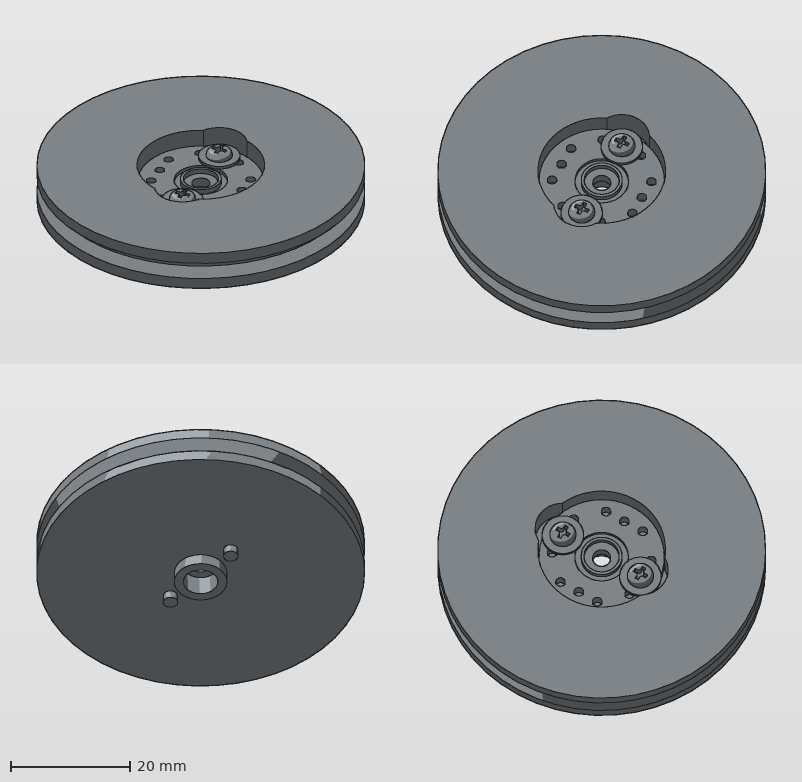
import cadquery as cq
import math

WHEEL_D = 55.0
WHEEL_H = 7.0
RIM_WIDTH = 2.0
V_DEPTH = WHEEL_H / 2 - RIM_WIDTH

HORN_D = 21.0
HORN_T = 2.0
HORN_TOP_DEPTH = 3.0
HORN_TOP_Z = WHEEL_H - HORN_TOP_DEPTH
HORN_BOTTOM_Z = HORN_TOP_Z - HORN_T

POCKET_D = 21.4
LOBE_D = 9.3

HUB_D = 8.8
HUB_DROP = 2.1
BORE_D = 3.0
GROOVE_D = 8.95
GROOVE_DEPTH = 0.6
COLLAR_D = 6.9
COLLAR_RISE = 0.3
WELL_D = 5.9
WELL_DEPTH = 0.9
SOCKET_D = 5.8
BORE_LENGTH = 1.7

HOLE_ROW_R = 7.55
HOLE_PITCH = 3.6
HOLE_D = 1.6

SCREW_D = 2.4
SCREW_DROP = 1.5
FLANGE_D = 7.0
FLANGE_T = 0.5
HEAD_D = 4.4
HEAD_H = 1.2
HEAD_TOP_D = 2.4
RECESS_ARM_W = 0.6
RECESS_CORNER_R = 0.4
RECESS_DEPTH = 1.4


def cylinder(diameter, bottom_z, top_z, x=0.0, y=0.0):
    """Upright cylinder between two heights."""
    disc = cq.Workplane("XY", origin=(x, y, bottom_z)).circle(diameter / 2)
    return disc.extrude(top_z - bottom_z)


def make_wheel():
    """V-grooved pulley with the lobed pocket, the hub hole and two screw holes."""
    rim_r = WHEEL_D / 2
    wheel = (
        cq.Workplane("XZ")
        .moveTo(0, 0)
        .lineTo(rim_r, 0)
        .lineTo(rim_r, RIM_WIDTH)
        .lineTo(rim_r - V_DEPTH, WHEEL_H / 2)
        .lineTo(rim_r, WHEEL_H - RIM_WIDTH)
        .lineTo(rim_r, WHEEL_H)
        .lineTo(0, WHEEL_H)
        .close()
        .revolve(360, (0, 0, 0), (0, 1, 0))
    )
    wheel = wheel.cut(cylinder(POCKET_D, HORN_BOTTOM_Z, WHEEL_H))
    wheel = wheel.cut(cylinder(HUB_D, 0, WHEEL_H))
    for side in (1, -1):
        wheel = wheel.cut(cylinder(LOBE_D, HORN_BOTTOM_Z, WHEEL_H, y=side * HOLE_ROW_R))
        wheel = wheel.cut(cylinder(SCREW_D, 0, WHEEL_H, y=side * HOLE_ROW_R))
    return wheel


def make_horn():
    """Perforated plate with a hub below and a collar standing in a ring groove above."""
    horn = cylinder(HORN_D, HORN_BOTTOM_Z, HORN_TOP_Z)
    horn = horn.union(cylinder(HUB_D, -HUB_DROP, HORN_BOTTOM_Z))
    horn = horn.cut(cylinder(GROOVE_D, HORN_TOP_Z - GROOVE_DEPTH, HORN_TOP_Z))

    collar_top_z = HORN_TOP_Z + COLLAR_RISE
    horn = horn.union(cylinder(COLLAR_D, HORN_TOP_Z - GROOVE_DEPTH, collar_top_z))
    horn = horn.cut(cylinder(WELL_D, collar_top_z - WELL_DEPTH, collar_top_z))
    horn = horn.cut(cylinder(BORE_D, -HUB_DROP, collar_top_z))

    socket_top_z = collar_top_z - WELL_DEPTH - BORE_LENGTH
    horn = horn.cut(cylinder(SOCKET_D, -HUB_DROP, socket_top_z))

    for side in (1, -1):
        row_place = side * HOLE_ROW_R
        for step in (-1, 0, 1):
            along_row = step * HOLE_PITCH
            horn = horn.cut(cylinder(HOLE_D, HORN_BOTTOM_Z, HORN_TOP_Z, row_place, along_row))
            horn = horn.cut(cylinder(HOLE_D, HORN_BOTTOM_Z, HORN_TOP_Z, along_row, row_place))
        horn = horn.cut(cylinder(SCREW_D, HORN_BOTTOM_Z, HORN_TOP_Z, y=row_place))
    return horn


def make_cross_recess(top_z):
    """Cross-shaped driver recess with rounded inner corners, open at the given height."""
    floor = cq.Workplane("XY", origin=(0, 0, top_z - RECESS_DEPTH))
    cross = floor.rect(HEAD_TOP_D, RECESS_ARM_W).extrude(RECESS_DEPTH)
    cross = cross.union(floor.rect(RECESS_ARM_W, HEAD_TOP_D).extrude(RECESS_DEPTH))

    inner_box = cq.selectors.BoxSelector(
        (-RECESS_ARM_W, -RECESS_ARM_W, top_z - RECESS_DEPTH),
        (RECESS_ARM_W, RECESS_ARM_W, top_z),
    )
    return cross.edges("|Z").edges(inner_box).fillet(RECESS_CORNER_R)


def make_screw(y):
    """Flanged screw with a rounded head and a cross recess."""
    flange_top_z = HORN_TOP_Z + FLANGE_T
    head_top_z = flange_top_z + HEAD_H
    screw = cylinder(SCREW_D, -SCREW_DROP, HORN_TOP_Z)
    screw = screw.union(cylinder(FLANGE_D, HORN_TOP_Z, flange_top_z))

    head_r = HEAD_D / 2
    top_r = HEAD_TOP_D / 2
    diagonal = math.sqrt(0.5)
    rim_middle = (top_r + (head_r - top_r) * diagonal, flange_top_z + HEAD_H * diagonal)
    head = (
        cq.Workplane("XZ")
        .moveTo(0, flange_top_z)
        .lineTo(head_r, flange_top_z)
        .threePointArc(rim_middle, (top_r, head_top_z))
        .lineTo(0, head_top_z)
        .close()
        .revolve(360, (0, 0, 0), (0, 1, 0))
    )
    screw = screw.union(head)

    screw = screw.cut(make_cross_recess(head_top_z))
    return screw.translate((0, y, 0))


wheel = make_wheel()
horn = make_horn()
screws = [make_screw(side * HOLE_ROW_R) for side in (1, -1)]

result = cq.Compound.makeCompound([wheel.val(), horn.val(), *(screw.val() for screw in screws)])